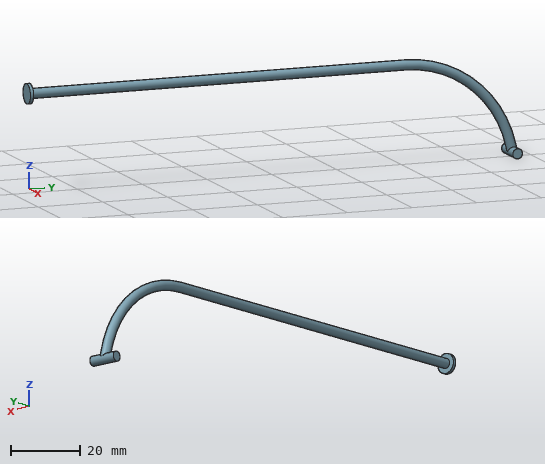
import cadquery as cq
import math

rod_diameter = 3.0
straight_length = 117.0
bend_radius = 33.5
bend_angle = 80.0
disc_diameter = 6.0
disc_thickness = 1.0
bar_diameter = rod_diameter
bar_length = 9.0


def bend_point(angle):
    """Centreline point (y, z) after turning by the given angle in degrees."""
    turned = math.radians(angle)
    y = straight_length + bend_radius * math.sin(turned)
    z = -bend_radius * (1 - math.cos(turned))
    return y, z


def disc_along_y(diameter, length):
    """Cylinder on the Y axis, running from the origin toward +Y."""
    return cq.Workplane("XZ").circle(diameter / 2).extrude(-length)


def make_rod():
    """Straight rod along Y that ends in a downward circular bend."""
    straight = disc_along_y(rod_diameter, straight_length)
    centreline = (
        cq.Workplane("YZ")
        .moveTo(*bend_point(0))
        .threePointArc(bend_point(bend_angle / 2), bend_point(bend_angle))
    )
    bend = (
        cq.Workplane("XZ", origin=(0, straight_length, 0))
        .circle(rod_diameter / 2)
        .sweep(centreline)
    )
    return straight.union(bend)


def make_cross_bar():
    """Bar along X, centred on the end of the bend."""
    end_y, end_z = bend_point(bend_angle)
    return (
        cq.Workplane("YZ")
        .center(end_y, end_z)
        .circle(bar_diameter / 2)
        .extrude(bar_length / 2, both=True)
    )


end_disc = disc_along_y(disc_diameter, disc_thickness)
result = make_rod().union(end_disc).union(make_cross_bar())